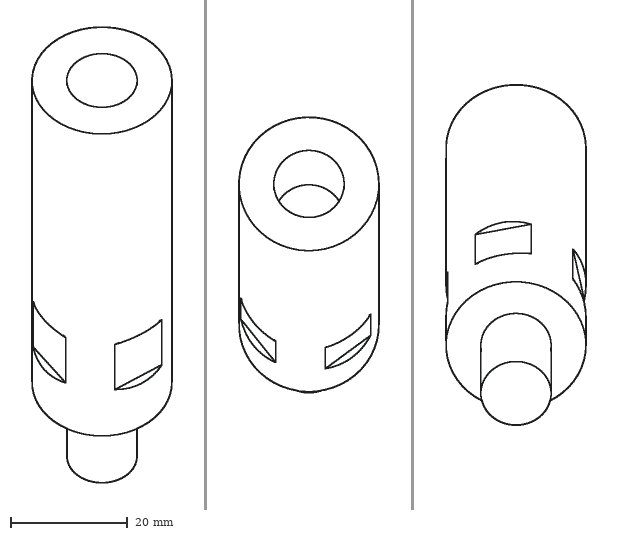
import cadquery as cq

total_length = 99.5
body_diameter = 24.0
stud_diameter = 12.0
stud_length = 19.5

bore_diameter = stud_diameter
bore_depth = stud_length

across_flats = 21.9
flat_bottom = 31.5
flat_height = 11.9
flat_end_run = 0.6

body_radius = body_diameter / 2
flat_depth = (body_diameter - across_flats) / 2


def wrench_flat_cutter(angle):
    """Prism that cuts one flat with sloped ends, turned about the Z axis."""
    inner = across_flats / 2
    flat_top = flat_bottom + flat_height
    return (
        cq.Workplane("XZ")
        .moveTo(inner, flat_bottom)
        .lineTo(inner + flat_depth, flat_bottom - flat_end_run)
        .lineTo(inner + flat_depth, flat_top + flat_end_run)
        .lineTo(inner, flat_top)
        .close()
        .extrude(body_radius, both=True)
        .rotate((0, 0, 0), (0, 0, 1), angle)
    )


stud = cq.Workplane("XY").circle(stud_diameter / 2).extrude(stud_length)
body = (
    cq.Workplane("XY")
    .workplane(offset=stud_length)
    .circle(body_radius)
    .extrude(total_length - stud_length)
)
result = stud.union(body)

result = result.faces(">Z").workplane().hole(bore_diameter, bore_depth)

for angle in (0, 90, 180, 270):
    result = result.cut(wrench_flat_cutter(angle))